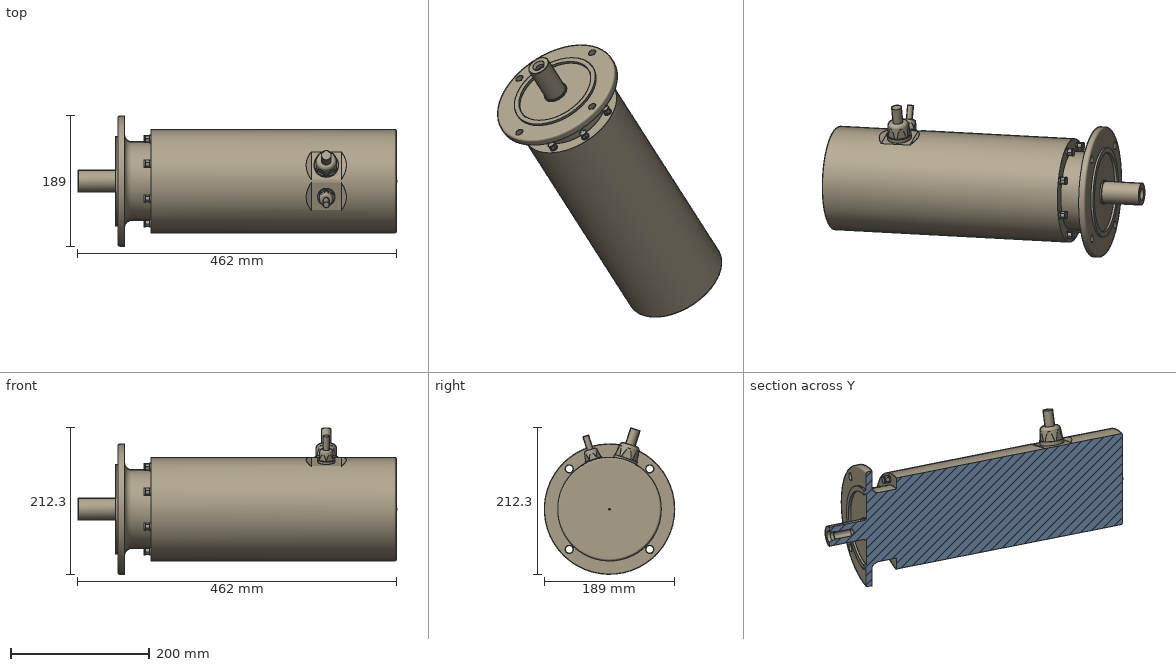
import cadquery as cq
import math

SPIGOT_FRONT_X = 54.5
FLANGE_FRONT_X = 57.8
FLANGE_BACK_X = 67.5
SCREW_FRONT_X = 95.5
HOUSING_FRONT_X = 105.5
HOUSING_END_X = 461.0
MOTOR_END_X = 462.0

SHAFT_DIAMETER = 32.0
SHAFT_TIP_CHAMFER = 0.5
COLLAR_DIAMETER = 35.0
COLLAR_HEIGHT = 2.5

CENTRE_COUNTERSINK_DIAMETER = 18.0
CENTRE_RELIEF_DIAMETER = 13.0
CENTRE_TAP_DIAMETER = 10.5
CENTRE_RELIEF_DEPTH = 9.5
CENTRE_TAP_DEPTH = 36.0
COUNTERSINK_HALF_ANGLE = 30
DRILL_POINT_HALF_ANGLE = 60

SPIGOT_DIAMETER = 130.0
SPIGOT_RECESS_DIAMETER = 115.0
SPIGOT_RECESS_DEPTH = 3.5
FLANGE_DIAMETER = 189.0
FLANGE_FACE_DIAMETER = 183.0
FLANGE_HOLE_DIAMETER = 11.0
FLANGE_HOLE_CIRCLE_DIAMETER = 165.0
FLANGE_HOLE_COUNT = 4
FLANGE_HOLE_START_ANGLE = 45
NECK_DIAMETER = 114.0
NECK_FILLET = 10.0

HOUSING_DIAMETER = 150.0
HOUSING_END_FILLET = 3.0
END_PIN_DIAMETER = 2.5

SCREW_COUNT = 8
SCREW_CIRCLE_DIAMETER = 132.0
SCREW_HEAD_DIAMETER = 10.5
SCREW_RIM_LENGTH = 2.0
SCREW_ACROSS_FLATS = 9.2
SCREW_WASHER_DIAMETER = 11.0
SCREW_WASHER_THICKNESS = 2.0

GLAND_X = 359.5
GLAND_TILT = 18
PAD_RADIUS = 72.0
PAD_LENGTH = 43.5
PAD_RUNOUT_LENGTH = 7.5

HEXAGON_HALF_ANGLE = 30


def along_axis(diameter, start_x, end_x):
    """Cylinder on the motor axis from start_x to end_x."""
    return cq.Workplane("YZ").workplane(offset=start_x).circle(diameter / 2).extrude(end_x - start_x)


def on_circle(count, diameter, start_angle, start_x):
    """Workplane with points evenly spaced on a circle around the motor axis."""
    plane = cq.Workplane("YZ").workplane(offset=start_x)
    return plane.polarArray(diameter / 2, start_angle, 360, count)


def across_corners(across_flats):
    """Corner-to-corner size of a hexagon."""
    return across_flats / math.cos(math.radians(HEXAGON_HALF_ANGLE))


def stand_on_pad(body, side):
    """Turn a body built along +Z so that it leans towards +Y (side 1) or -Y (side -1)."""
    return body.rotate((0, 0, 0), (1, 0, 0), -side * GLAND_TILT).translate((GLAND_X, 0, 0))


def make_flange():
    face_rounding = (FLANGE_DIAMETER - FLANGE_FACE_DIAMETER) / 2
    plate = along_axis(FLANGE_DIAMETER, FLANGE_FRONT_X, FLANGE_BACK_X)
    plate = plate.faces("<X").edges().fillet(face_rounding)
    neck_radius = NECK_DIAMETER / 2
    arc_offset = NECK_FILLET * (1 - math.sqrt(0.5))
    neck = (
        cq.Workplane("XY")
        .moveTo(FLANGE_BACK_X, 0)
        .lineTo(FLANGE_BACK_X, neck_radius + NECK_FILLET)
        .threePointArc(
            (FLANGE_BACK_X + arc_offset, neck_radius + arc_offset),
            (FLANGE_BACK_X + NECK_FILLET, neck_radius),
        )
        .lineTo(HOUSING_FRONT_X, neck_radius)
        .lineTo(HOUSING_FRONT_X, 0)
        .close()
        .revolve(360, (0, 0, 0), (1, 0, 0))
    )
    spigot = along_axis(SPIGOT_DIAMETER, SPIGOT_FRONT_X, FLANGE_FRONT_X)
    recess = along_axis(SPIGOT_RECESS_DIAMETER, SPIGOT_FRONT_X, SPIGOT_FRONT_X + SPIGOT_RECESS_DEPTH)
    holes = (
        on_circle(FLANGE_HOLE_COUNT, FLANGE_HOLE_CIRCLE_DIAMETER, FLANGE_HOLE_START_ANGLE, FLANGE_FRONT_X)
        .circle(FLANGE_HOLE_DIAMETER / 2)
        .extrude(FLANGE_BACK_X - FLANGE_FRONT_X)
    )
    return plate.union(neck).union(spigot).cut(recess).cut(holes)


def make_shaft():
    floor_x = SPIGOT_FRONT_X + SPIGOT_RECESS_DEPTH
    shaft = along_axis(SHAFT_DIAMETER, 0, floor_x).faces("<X").chamfer(SHAFT_TIP_CHAMFER)
    collar = along_axis(COLLAR_DIAMETER, floor_x - COLLAR_HEIGHT, floor_x)
    return shaft.union(collar).cut(make_centre_hole())


def make_centre_hole():
    countersink = CENTRE_COUNTERSINK_DIAMETER / 2
    relief = CENTRE_RELIEF_DIAMETER / 2
    tap = CENTRE_TAP_DIAMETER / 2
    countersink_depth = (countersink - relief) / math.tan(math.radians(COUNTERSINK_HALF_ANGLE))
    point_depth = tap / math.tan(math.radians(DRILL_POINT_HALF_ANGLE))
    return (
        cq.Workplane("XY")
        .polyline([
            (0, 0),
            (0, countersink),
            (countersink_depth, relief),
            (CENTRE_RELIEF_DEPTH, relief),
            (CENTRE_RELIEF_DEPTH, tap),
            (CENTRE_TAP_DEPTH, tap),
            (CENTRE_TAP_DEPTH + point_depth, 0),
        ])
        .close()
        .revolve(360, (0, 0, 0), (1, 0, 0))
    )


def screw_points(start_x):
    """Workplane with the centres of all the screws."""
    return on_circle(SCREW_COUNT, SCREW_CIRCLE_DIAMETER, 180 / SCREW_COUNT, start_x)


def make_screws():
    washer_front_x = HOUSING_FRONT_X - SCREW_WASHER_THICKNESS
    flats_front_x = SCREW_FRONT_X + SCREW_RIM_LENGTH
    rims = screw_points(SCREW_FRONT_X).circle(SCREW_HEAD_DIAMETER / 2).extrude(SCREW_RIM_LENGTH)
    hexagons = (
        screw_points(flats_front_x)
        .polygon(6, across_corners(SCREW_ACROSS_FLATS))
        .extrude(washer_front_x - flats_front_x)
    )
    washers = (
        screw_points(washer_front_x)
        .circle(SCREW_WASHER_DIAMETER / 2)
        .extrude(SCREW_WASHER_THICKNESS)
    )
    return rims.union(hexagons).union(washers)


def make_pad_cut():
    """Material above one pad, with sloped run-outs at both ends, for a pad facing +Z."""
    half_length = PAD_LENGTH / 2
    return (
        cq.Workplane("XZ")
        .polyline([
            (-half_length, PAD_RADIUS),
            (half_length, PAD_RADIUS),
            (half_length + PAD_RUNOUT_LENGTH, HOUSING_DIAMETER / 2),
            (-half_length - PAD_RUNOUT_LENGTH, HOUSING_DIAMETER / 2),
        ])
        .close()
        .extrude(HOUSING_DIAMETER / 2, both=True)
    )


def make_motor():
    housing = along_axis(HOUSING_DIAMETER, HOUSING_FRONT_X, HOUSING_END_X)
    housing = housing.faces(">X").edges().fillet(HOUSING_END_FILLET)
    for side in (1, -1):
        housing = housing.cut(stand_on_pad(make_pad_cut(), side))
    motor = housing.union(make_flange()).union(make_screws())
    motor = motor.union(along_axis(END_PIN_DIAMETER, HOUSING_END_X, MOTOR_END_X))
    return motor.union(make_shaft())


def make_gland(side, base_diameter, base_top, cone_diameter, cap_diameter, cap_top, cap_fillet,
               across_flats, cable_diameter, cable_tip):
    """Cable gland with its cable, standing on one pad; heights are distances from the motor axis.

    A round base carries a tapered nut with a rounded top; six flats cut arches into the taper.
    """
    shoulder = cap_top - cap_fillet
    base_height = base_top - PAD_RADIUS
    base = cq.Workplane("XY").workplane(offset=PAD_RADIUS).circle(base_diameter / 2).extrude(base_height)
    nut = (
        cq.Workplane("XZ")
        .moveTo(0, base_top)
        .lineTo(cone_diameter / 2, base_top)
        .lineTo(cap_diameter / 2, shoulder)
        .radiusArc((cap_diameter / 2 - cap_fillet, cap_top), -cap_fillet)
        .lineTo(0, cap_top)
        .close()
        .revolve(360, (0, 0, 0), (0, 1, 0))
    )
    hexagon = (
        cq.Workplane("XY")
        .workplane(offset=base_top)
        .transformed(rotate=(0, 0, HEXAGON_HALF_ANGLE))
        .polygon(6, across_corners(across_flats))
        .extrude(cap_top - base_top)
    )
    cable = (
        cq.Workplane("XY")
        .workplane(offset=cap_top)
        .circle(cable_diameter / 2)
        .extrude(cable_tip - cap_top)
    )
    return stand_on_pad(base.union(nut.intersect(hexagon)).union(cable), side)


motor = make_motor()
power_gland = make_gland(
    side=1,
    base_diameter=35.0,
    base_top=77.5,
    cone_diameter=33.3,
    cap_diameter=30.0,
    cap_top=98.0,
    cap_fillet=5.5,
    across_flats=30.0,
    cable_diameter=14.5,
    cable_tip=121.5,
)
signal_gland = make_gland(
    side=-1,
    base_diameter=25.0,
    base_top=75.8,
    cone_diameter=23.5,
    cap_diameter=19.0,
    cap_top=90.5,
    cap_fillet=3.0,
    across_flats=20.0,
    cable_diameter=9.0,
    cable_tip=111.5,
)
result = cq.Compound.makeCompound([motor.val(), power_gland.val(), signal_gland.val()])